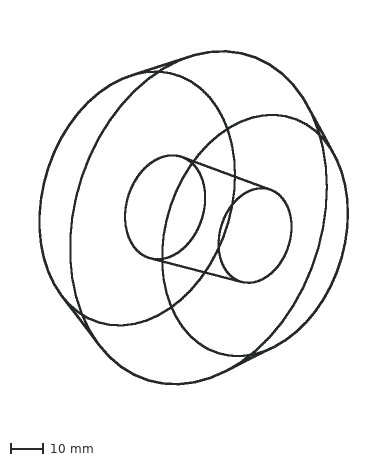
import cadquery as cq

ridge_radius = 52.4
front_length = 28.7
back_length = 26.5
front_radius = 40.0
back_radius = 38.0

dish_depth = 13.1
bore_entry_radius = 16.4
bore_exit_radius = 14.9

front_x = -front_length
dish_floor_x = front_x + dish_depth

section = (
    cq.Workplane("XY")
    .moveTo(front_x, front_radius)
    .lineTo(0, ridge_radius)
    .lineTo(back_length, back_radius)
    .lineTo(back_length, bore_exit_radius)
    .lineTo(dish_floor_x, bore_entry_radius)
    .close()
)

result = section.revolve(360, (0, 0, 0), (1, 0, 0))